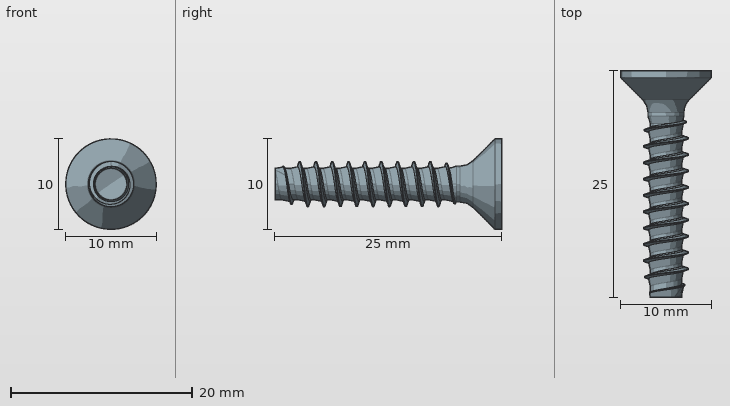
import cadquery as cq
import math

length = 25.0

head_radius = 5.0
rim_height = 0.78
rim_edge_radius = 0.1
shank_radius = 2.0
neck_fillet = 2.0
shank_end = 5.0
core_radius = 1.75
core_start = 5.82
tip_dish_radius = 1.7
tip_dish_depth = 0.1

pitch = 1.8
thread_start = 4.75
thread_start_angle = 180.0
lead_in_turns = 1.25
full_turns = 8.5
run_out_turns = 1.5
crest_radius = 2.5
lead_in_rise = 0.4
run_out_drop = 0.8

crest_half_width = 0.038
tip_flank_width = 0.212
tip_flank_radius = 1.92
head_flank_width = 0.22
head_flank_radius = 1.9
head_root_width = 0.38
buried_depth = 0.1

shoulder_end = 1.05
shoulder_overlap = 0.08
shoulder_buried_depth = 0.05

tip_taper_height = 1.25
tip_taper_rise = 0.22


def make_body():
    """Head, neck, shank and core as one turned body along local Z."""
    cone_end = rim_height + head_radius - shank_radius
    body = (
        cq.Workplane("XZ")
        .moveTo(0, 0)
        .lineTo(head_radius, 0)
        .lineTo(head_radius, rim_height)
        .lineTo(shank_radius, cone_end)
        .lineTo(shank_radius, shank_end)
        .lineTo(core_radius, core_start)
        .lineTo(core_radius, length)
        .lineTo(0, length)
        .close()
        .revolve(360, (0, 0, 0), (0, 1, 0))
    )
    rim_edge = cq.selectors.BoxSelector(
        (-head_radius - 0.25, -head_radius - 0.25, rim_height - 0.02),
        (head_radius + 0.25, head_radius + 0.25, rim_height + 0.02),
        boundingbox=True,
    )
    neck_edge = cq.selectors.BoxSelector(
        (-head_radius, -head_radius, cone_end - 0.02),
        (head_radius, head_radius, cone_end + 0.02),
        boundingbox=True,
    )
    return body.edges(neck_edge).fillet(neck_fillet).edges(rim_edge).fillet(rim_edge_radius)


def helix_edge(offset, radius, turns_before, turns, growth):
    """A helix edge that widens by growth over its turns."""
    height = turns * pitch
    if growth == 0:
        helix = cq.Wire.makeHelix(pitch, height, radius)
    else:
        slope = math.atan2(growth, height)
        slant = 1 / math.cos(slope)
        helix = cq.Wire.makeHelix(pitch * slant, height * slant, radius, angle=math.degrees(slope))
    start_angle = thread_start_angle + 360 * turns_before
    helix = helix.rotate(cq.Vector(0, 0, 0), cq.Vector(0, 0, 1), start_angle)
    return helix.translate(cq.Vector(0, 0, thread_start + pitch * turns_before + offset)).Edges()[0]


def section_face(section, radial_shift, turns_before):
    """The section as a flat face, after the given number of turns."""
    angle = math.radians(thread_start_angle + 360 * turns_before)
    depth = thread_start + pitch * turns_before
    corners = [
        cq.Vector(
            (radius + radial_shift) * math.cos(angle),
            (radius + radial_shift) * math.sin(angle),
            depth + offset,
        )
        for offset, radius in section
    ]
    return cq.Face.makeFromWires(cq.Wire.makePolygon(corners, close=True))


def helical_ridge(section, stretches, start_shift):
    """Solid swept by a section of (offset, radius) corners through stretches of (turns, growth)."""
    shift = start_shift
    turns_done = 0.0
    faces = [section_face(section, shift, turns_done)]
    for turns, growth in stretches:
        edges = [helix_edge(o, r + shift, turns_done, turns, growth) for o, r in section]
        for edge, next_edge in zip(edges, edges[1:] + edges[:1]):
            faces.append(cq.Face.makeRuledSurface(edge, next_edge))
        shift += growth
        turns_done += turns
    faces.append(section_face(section, shift, turns_done))
    return cq.Workplane(cq.Solid.makeSolid(cq.Shell.makeShell(faces)).fix())


def make_thread():
    tip_slope = (tip_flank_width - crest_half_width) / (crest_radius - tip_flank_radius)
    base_radius = core_radius - buried_depth
    section = [
        (-head_root_width - buried_depth, base_radius),
        (-head_flank_width, head_flank_radius),
        (-crest_half_width, crest_radius),
        (crest_half_width, crest_radius),
        (crest_half_width + tip_slope * (crest_radius - base_radius), base_radius),
    ]
    stretches = [
        (lead_in_turns, lead_in_rise),
        (full_turns, 0.0),
        (run_out_turns, -run_out_drop),
    ]
    return helical_ridge(section, stretches, -lead_in_rise)


def make_shoulder():
    taper = (tip_flank_radius - core_radius) / (shoulder_end - tip_flank_width)
    base_radius = core_radius - shoulder_buried_depth
    section = [
        (-shoulder_overlap, base_radius),
        (-shoulder_overlap, core_radius + taper * (shoulder_end + shoulder_overlap)),
        (shoulder_end + shoulder_buried_depth / taper, base_radius),
    ]
    all_turns = lead_in_turns + full_turns + run_out_turns
    return helical_ridge(section, [(all_turns, 0.0)], 0.0)


def make_thread_limit():
    """Space from the end of the shank to the tip that holds the thread."""
    return cq.Workplane("XY").workplane(offset=shank_end).circle(head_radius).extrude(length - shank_end)


def make_shoulder_limit():
    """The thread's space, narrowed by a cone at the tip."""
    taper_start = length - tip_taper_height
    return (
        cq.Workplane("XZ")
        .moveTo(0, shank_end)
        .lineTo(head_radius, shank_end)
        .lineTo(head_radius, taper_start)
        .lineTo(core_radius + tip_taper_rise, taper_start)
        .lineTo(core_radius, length)
        .lineTo(0, length)
        .close()
        .revolve(360, (0, 0, 0), (0, 1, 0))
    )


def make_tip_dish():
    """Shallow cone to be hollowed out of the tip."""
    bottom = cq.Vector(0, 0, length - tip_dish_depth)
    return cq.Workplane(cq.Solid.makeCone(0, tip_dish_radius, tip_dish_depth, bottom))


screw = (
    make_body()
    .union(make_shoulder().intersect(make_shoulder_limit()), clean=False)
    .union(make_thread().intersect(make_thread_limit()), clean=False)
    .cut(make_tip_dish(), clean=False)
)

result = screw.rotate((0, 0, 0), (1, 0, 0), 90)